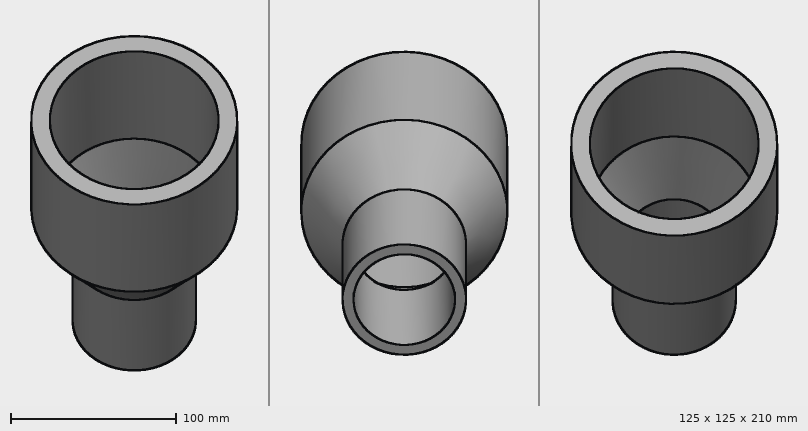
import cadquery as cq

total_height = 210.0
narrow_length = 74.1
wide_length = 91.8
wide_diameter = 125.0
narrow_diameter = 75.0
wide_wall = 11.3
narrow_wall = 6.7

cone_bottom = narrow_length
cone_top = total_height - wide_length


def stepped_cone(narrow_radius, wide_radius):
    """Solid of revolution: narrow cylinder, cone, wide cylinder."""
    return (
        cq.Workplane("XZ")
        .moveTo(0, 0)
        .lineTo(narrow_radius, 0)
        .lineTo(narrow_radius, cone_bottom)
        .lineTo(wide_radius, cone_top)
        .lineTo(wide_radius, total_height)
        .lineTo(0, total_height)
        .close()
        .revolve(360, (0, 0, 0), (0, 1, 0))
    )


body = stepped_cone(narrow_diameter / 2, wide_diameter / 2)
bore = stepped_cone(narrow_diameter / 2 - narrow_wall, wide_diameter / 2 - wide_wall)

result = body.cut(bore)